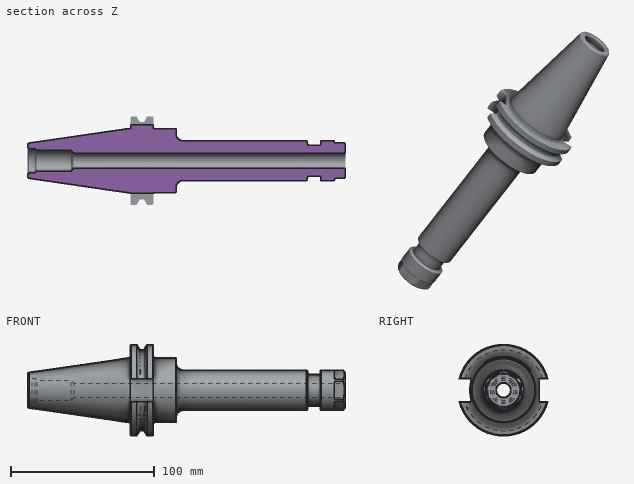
import cadquery as cq
import math

TAPER_LENGTH = 68.25
OVERALL_LENGTH = 220.67
X_TAIL = -TAPER_LENGTH
X_NOSE = X_TAIL + OVERALL_LENGTH
X_TAPER_END = 1.2
X_FLANGE_START = 3.175
FLANGE_WIDTH = 15.9
X_FLANGE_END = X_FLANGE_START + FLANGE_WIDTH
X_GROOVE = 11.1
X_HUB_END = 35.0
X_SHAFT_END = 126.3
X_NUT_START = 135.1
X_HEX_START = 144.8

GAUGE_DIAMETER = 44.45
TAPER_RATIO = 7 / 24
TAIL_RIM_DIAMETER = 23.56
TAIL_CHAMFER_LENGTH = 1.0

FLANGE_DIAMETER = 63.31
HUB_DIAMETER = 44.8
SHAFT_DIAMETER = 28.0
NECK_DIAMETER = 22.0
NUT_DIAMETER = 28.0

GROOVE_FLOOR_DIAMETER = 56.25
GROOVE_FLOOR_WIDTH = 3.1
GROOVE_FLANK_ANGLE = 30.0
GROOVE_ROOT_RADIUS = 1.0

FLANGE_CHAMFER = 0.5
HUB_CHAMFER = 0.5
FLANGE_ROOT_RADIUS = 1.0
SHAFT_ROOT_RADIUS = 4.6
SHAFT_CHAMFER = 0.9
NECK_ROOT_RADIUS = 0.8
NUT_CHAMFER = 0.6
NOSE_CHAMFER_LENGTH = 1.6
NOSE_CHAMFER_DEPTH = 2.4

SLOT_WIDTH = 16.1
SLOT_FLOOR_FRONT = 22.8
SLOT_FLOOR_BACK = 25.0

HEX_SIDES = 6
HEX_ACROSS_FLATS = 25.0
HEX_ROOT_RADIUS = 0.9

CLEARANCE = 1.0

MOUTH_DIAMETER = 18.5
PILOT_DIAMETER = 16.5
PILOT_DEPTH = 3.0
COUNTERBORE_DIAMETER = 16.3
COUNTERBORE_DEPTH = 5.0
THREAD_DIAMETER = 14.0
THREAD_DEPTH = 30.0
BORE_DIAMETER = 10.0


def taper_radius(x):
    """Radius of the 7:24 taper at axial station x."""
    return (GAUGE_DIAMETER + TAPER_RATIO * x) / 2


def fillet_midpoint(center_x, center_r, radius, side):
    """Middle of a quarter-round blend between its centre and the axis, on the given X side."""
    reach = radius * math.sqrt(0.5)
    return (center_x + side * reach, center_r - reach)


def turned_body():
    """Solid of revolution carrying the taper, flange, hub, shaft, neck and nut."""
    tail_radius = TAIL_RIM_DIAMETER / 2
    x_taper_start = X_TAIL + TAIL_CHAMFER_LENGTH
    land_r = taper_radius(X_TAPER_END)
    flange_r = FLANGE_DIAMETER / 2
    groove_r = GROOVE_FLOOR_DIAMETER / 2
    hub_r = HUB_DIAMETER / 2
    shaft_r = SHAFT_DIAMETER / 2
    neck_r = NECK_DIAMETER / 2
    nut_r = NUT_DIAMETER / 2
    half_floor = GROOVE_FLOOR_WIDTH / 2
    half_mouth = half_floor + (flange_r - groove_r) * math.tan(math.radians(GROOVE_FLANK_ANGLE))
    root_turn = math.radians(90 - GROOVE_FLANK_ANGLE)
    root_center_x = half_floor - GROOVE_ROOT_RADIUS * math.tan(root_turn / 2)
    root_mid_x = root_center_x + GROOVE_ROOT_RADIUS * math.sin(root_turn / 2)
    root_mid_r = groove_r + GROOVE_ROOT_RADIUS * (1 - math.cos(root_turn / 2))
    root_flank_x = root_center_x + GROOVE_ROOT_RADIUS * math.sin(root_turn)
    root_flank_r = groove_r + GROOVE_ROOT_RADIUS * (1 - math.cos(root_turn))
    land_blend = (X_FLANGE_START - FLANGE_ROOT_RADIUS, land_r + FLANGE_ROOT_RADIUS)
    hub_blend = (X_FLANGE_END + FLANGE_ROOT_RADIUS, hub_r + FLANGE_ROOT_RADIUS)
    shaft_blend = (X_HUB_END + SHAFT_ROOT_RADIUS, shaft_r + SHAFT_ROOT_RADIUS)
    neck_blend = (X_SHAFT_END + NECK_ROOT_RADIUS, neck_r + NECK_ROOT_RADIUS)

    profile = (
        cq.Workplane("XY")
        .moveTo(X_TAIL, 0)
        .lineTo(X_TAIL, tail_radius)
        .lineTo(x_taper_start, taper_radius(x_taper_start))
        .lineTo(X_TAPER_END, land_r)
        .lineTo(land_blend[0], land_r)
        .threePointArc(fillet_midpoint(*land_blend, FLANGE_ROOT_RADIUS, 1), (X_FLANGE_START, land_blend[1]))
        .lineTo(X_FLANGE_START, flange_r - FLANGE_CHAMFER)
        .lineTo(X_FLANGE_START + FLANGE_CHAMFER, flange_r)
        .lineTo(X_GROOVE - half_mouth, flange_r)
        .lineTo(X_GROOVE - root_flank_x, root_flank_r)
        .threePointArc((X_GROOVE - root_mid_x, root_mid_r), (X_GROOVE - root_center_x, groove_r))
        .lineTo(X_GROOVE + root_center_x, groove_r)
        .threePointArc((X_GROOVE + root_mid_x, root_mid_r), (X_GROOVE + root_flank_x, root_flank_r))
        .lineTo(X_GROOVE + half_mouth, flange_r)
        .lineTo(X_FLANGE_END - FLANGE_CHAMFER, flange_r)
        .lineTo(X_FLANGE_END, flange_r - FLANGE_CHAMFER)
        .lineTo(X_FLANGE_END, hub_blend[1])
        .threePointArc(fillet_midpoint(*hub_blend, FLANGE_ROOT_RADIUS, -1), (hub_blend[0], hub_r))
        .lineTo(X_HUB_END - HUB_CHAMFER, hub_r)
        .lineTo(X_HUB_END, hub_r - HUB_CHAMFER)
        .lineTo(X_HUB_END, shaft_blend[1])
        .threePointArc(fillet_midpoint(*shaft_blend, SHAFT_ROOT_RADIUS, -1), (shaft_blend[0], shaft_r))
        .lineTo(X_SHAFT_END - SHAFT_CHAMFER, shaft_r)
        .lineTo(X_SHAFT_END, shaft_r - SHAFT_CHAMFER)
        .lineTo(X_SHAFT_END, neck_blend[1])
        .threePointArc(fillet_midpoint(*neck_blend, NECK_ROOT_RADIUS, -1), (neck_blend[0], neck_r))
        .lineTo(X_NUT_START, neck_r)
        .lineTo(X_NUT_START, nut_r - NUT_CHAMFER)
        .lineTo(X_NUT_START + NUT_CHAMFER, nut_r)
        .lineTo(X_NOSE - NOSE_CHAMFER_LENGTH, nut_r)
        .lineTo(X_NOSE, nut_r - NOSE_CHAMFER_DEPTH)
        .lineTo(X_NOSE, 0)
        .close()
    )
    return profile.revolve(360, (0, 0, 0), (1, 0, 0))


def drive_slot(side, floor):
    """Cutter for one drive slot; side is -1 or +1 along Y, floor its distance from the axis."""
    depth = FLANGE_DIAMETER / 2 - floor + CLEARANCE
    return cq.Workplane("XY").box(FLANGE_WIDTH, depth, SLOT_WIDTH).translate(
        (X_FLANGE_START + FLANGE_WIDTH / 2, side * (floor + depth / 2), 0)
    )


def hex_flat(index):
    """Cutter for one flat of the nut hexagon, with a rounded root where the flat starts."""
    flat_distance = HEX_ACROSS_FLATS / 2
    length = X_NOSE - X_HEX_START + CLEARANCE
    height = NUT_DIAMETER / 2 - flat_distance + CLEARANCE
    return (
        cq.Workplane("XY", origin=(X_HEX_START, flat_distance, 0))
        .box(length, height, NUT_DIAMETER, centered=(False, False, True))
        .edges("<X and <Y")
        .fillet(HEX_ROOT_RADIUS)
        .rotate((0, 0, 0), (1, 0, 0), index * 360 / HEX_SIDES)
    )


def stepped_bore():
    """Cutter along the axis: chamfered mouth, pilot, counterbore, coned thread bore and through bore."""
    mouth_chamfer = (MOUTH_DIAMETER - PILOT_DIAMETER) / 2
    x_pilot_end = X_TAIL + PILOT_DEPTH
    x_step = X_TAIL + COUNTERBORE_DEPTH
    step_cone = (COUNTERBORE_DIAMETER - THREAD_DIAMETER) / 2
    x_thread_end = X_TAIL + THREAD_DEPTH
    end_cone = (THREAD_DIAMETER - BORE_DIAMETER) / 2
    return (
        cq.Workplane("XY")
        .moveTo(X_TAIL, 0)
        .lineTo(X_TAIL, MOUTH_DIAMETER / 2)
        .lineTo(X_TAIL + mouth_chamfer, PILOT_DIAMETER / 2)
        .lineTo(x_pilot_end, PILOT_DIAMETER / 2)
        .lineTo(x_pilot_end, COUNTERBORE_DIAMETER / 2)
        .lineTo(x_step, COUNTERBORE_DIAMETER / 2)
        .lineTo(x_step + step_cone, THREAD_DIAMETER / 2)
        .lineTo(x_thread_end, THREAD_DIAMETER / 2)
        .lineTo(x_thread_end + end_cone, BORE_DIAMETER / 2)
        .lineTo(X_NOSE, BORE_DIAMETER / 2)
        .lineTo(X_NOSE, 0)
        .close()
        .revolve(360, (0, 0, 0), (1, 0, 0))
    )


result = (
    turned_body()
    .cut(drive_slot(-1, SLOT_FLOOR_FRONT))
    .cut(drive_slot(1, SLOT_FLOOR_BACK))
    .cut(stepped_bore())
)
for flat_index in range(HEX_SIDES):
    result = result.cut(hex_flat(flat_index))